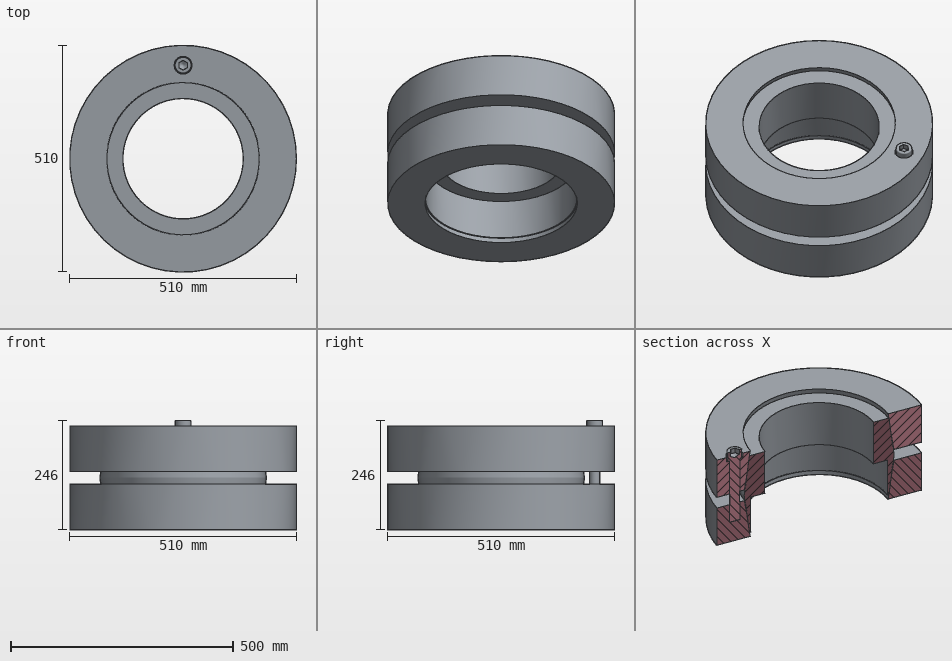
import cadquery as cq
import math

RING_DIAMETER = 510.0
RING_HEIGHT = 103.0
RING_GAP = 28.0
STACK_HEIGHT = 2 * RING_HEIGHT + RING_GAP
MID_HEIGHT = STACK_HEIGHT / 2
UPPER_RING_BASE = RING_HEIGHT + RING_GAP

SEAT_DIAMETER = 375.0
TAPER_ANGLE = 8.0

SLEEVE_SINK = 12.0
SLEEVE_BASE = SLEEVE_SINK
SLEEVE_TOP = STACK_HEIGHT - SLEEVE_SINK
BORE_DIAMETER = 270.0
BORE_LENGTH = 115.0
LOWER_BORE_DIAMETER = 340.0
LOWER_BORE_TOP = SLEEVE_TOP - BORE_LENGTH

SCREW_Y = 210.0
SHANK_DIAMETER = 24.0
HEAD_DIAMETER = 36.0
HEAD_HEIGHT = 24.0
HEAD_PROUD = 12.0
HEAD_FILLET = 2.4
HEX_ACROSS_FLATS = 19.0
HEX_ACROSS_CORNERS = HEX_ACROSS_FLATS / math.cos(math.radians(30))
HEX_ROTATION = 30.0
SOCKET_DEPTH = 12.0
SOCKET_CONE_SLOPE = 30.0
SOCKET_CONE_DEPTH = HEX_ACROSS_CORNERS / 2 * math.tan(math.radians(SOCKET_CONE_SLOPE))
CLEARANCE_DIAMETER = 26.0
COUNTERBORE_DIAMETER = 40.0
HEAD_TOP = STACK_HEIGHT + HEAD_PROUD
HEAD_SEAT = HEAD_TOP - HEAD_HEIGHT
SCREW_ENGAGEMENT = 48.0
SCREW_TIP = RING_HEIGHT - SCREW_ENGAGEMENT


def cylinder(diameter, bottom, top, y=0.0):
    """Upright cylinder between two heights, centred on X = 0."""
    return cq.Workplane("XY", origin=(0, y, bottom)).circle(diameter / 2).extrude(top - bottom)


def taper_half(end):
    """Solid frustum of the seat, from mid height to the height given."""
    end_radius = SEAT_DIAMETER / 2 - abs(end - MID_HEIGHT) * math.tan(math.radians(TAPER_ANGLE))
    return (
        cq.Workplane("XZ")
        .moveTo(0, MID_HEIGHT)
        .lineTo(SEAT_DIAMETER / 2, MID_HEIGHT)
        .lineTo(end_radius, end)
        .lineTo(0, end)
        .close()
        .revolve(360, (0, 0, 0), (0, 1, 0))
    )


def make_upper_ring():
    ring = cylinder(RING_DIAMETER, UPPER_RING_BASE, STACK_HEIGHT)
    ring = ring.cut(taper_half(STACK_HEIGHT))
    ring = ring.cut(cylinder(CLEARANCE_DIAMETER, UPPER_RING_BASE, HEAD_SEAT, SCREW_Y))
    return ring.cut(cylinder(COUNTERBORE_DIAMETER, HEAD_SEAT, STACK_HEIGHT, SCREW_Y))


def make_lower_ring():
    ring = cylinder(RING_DIAMETER, 0, RING_HEIGHT)
    ring = ring.cut(taper_half(0))
    return ring.cut(cylinder(SHANK_DIAMETER, SCREW_TIP, RING_HEIGHT, SCREW_Y))


def make_sleeve():
    sleeve = taper_half(SLEEVE_TOP).union(taper_half(SLEEVE_BASE))
    sleeve = sleeve.cut(cylinder(BORE_DIAMETER, LOWER_BORE_TOP, SLEEVE_TOP))
    return sleeve.cut(cylinder(LOWER_BORE_DIAMETER, SLEEVE_BASE, LOWER_BORE_TOP))


def make_hex_socket():
    """Hexagonal socket with a conical bottom, corners pointing along Y."""
    cone_base = HEAD_TOP - SOCKET_DEPTH
    prism = (
        cq.Workplane("XY", origin=(0, SCREW_Y, cone_base - SOCKET_CONE_DEPTH))
        .transformed(rotate=(0, 0, HEX_ROTATION))
        .polygon(6, HEX_ACROSS_CORNERS)
        .extrude(SOCKET_DEPTH + SOCKET_CONE_DEPTH)
    )
    cone = cq.Solid.makeCone(
        HEX_ACROSS_CORNERS / 2,
        0,
        SOCKET_CONE_DEPTH,
        cq.Vector(0, SCREW_Y, cone_base),
        cq.Vector(0, 0, -1),
    )
    pointed_rod = cylinder(HEX_ACROSS_CORNERS, cone_base, HEAD_TOP, SCREW_Y).union(cq.Workplane(cone))
    return prism.intersect(pointed_rod)


def make_screw():
    head = cylinder(HEAD_DIAMETER, HEAD_SEAT, HEAD_TOP, SCREW_Y).faces(">Z").edges().fillet(HEAD_FILLET)
    shank = cylinder(SHANK_DIAMETER, SCREW_TIP, HEAD_SEAT, SCREW_Y)
    return head.union(shank).cut(make_hex_socket())


upper_ring = make_upper_ring()
lower_ring = make_lower_ring()
sleeve = make_sleeve()
screw = make_screw()

result = cq.Compound.makeCompound([upper_ring.val(), lower_ring.val(), sleeve.val(), screw.val()])